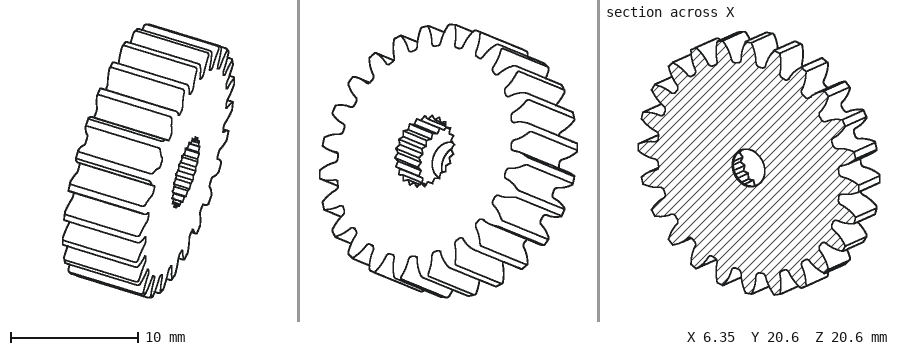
import cadquery as cq
import math

INCH = 25.4
TOOTH_COUNT = 24
MODULE = INCH / 32
PRESSURE_ANGLE = math.radians(20)
FACE_WIDTH = INCH / 4
DEDENDUM_FACTOR = 1.25
ROOT_FILLET = 0.3
TIP_ROUNDING = 0.2

PITCH_RADIUS = MODULE * TOOTH_COUNT / 2
BASE_RADIUS = PITCH_RADIUS * math.cos(PRESSURE_ANGLE)
TIP_RADIUS = PITCH_RADIUS + MODULE
ROOT_RADIUS = PITCH_RADIUS - DEDENDUM_FACTOR * MODULE
TOOTH_PITCH = 2 * math.pi / TOOTH_COUNT

RECESS_RADIUS = 7.65
RECESS_DEPTH = 2.03
BORE_RADIUS = 1.5

SPLINE_COUNT = 24
SPLINE_OUTER_RADIUS = 2.9
SPLINE_INNER_RADIUS = 2.6
SOCKET_DEPTH = 3.05

HALF_WIDTH = FACE_WIDTH / 2


def polar(radius, angle):
    """Point in the YZ plane, with the angle measured from +Y."""
    return (radius * math.cos(angle), radius * math.sin(angle))


def involute(angle):
    """Involute function of a pressure angle."""
    return math.tan(angle) - angle


def half_tooth_angle(radius):
    """Half the angle a tooth spans at the given radius on its involute flank."""
    flank_angle = math.acos(BASE_RADIUS / radius)
    return TOOTH_PITCH / 4 + involute(PRESSURE_ANGLE) - involute(flank_angle)


def cylinder(radius, start_x, length):
    """Cylinder on the X axis, running toward +X from start_x."""
    return cq.Workplane("YZ").workplane(offset=start_x).circle(radius).extrude(length)


def tooth_gap():
    """Cutter for the space between two teeth, centred on +Y.

    Each flank is one arc from the root to the tip. At the root the tooth is
    as thick as at the base circle, where the involute starts.
    """
    base_half_thickness = BASE_RADIUS * math.sin(half_tooth_angle(BASE_RADIUS))
    root_half_tooth = math.asin(base_half_thickness / ROOT_RADIUS)
    middle_radius = (BASE_RADIUS + TIP_RADIUS) / 2

    root_y, root_z = polar(ROOT_RADIUS, TOOTH_PITCH / 2 - root_half_tooth)
    middle_y, middle_z = polar(middle_radius, TOOTH_PITCH / 2 - half_tooth_angle(middle_radius))
    tip_y, tip_z = polar(TIP_RADIUS, TOOTH_PITCH / 2 - half_tooth_angle(TIP_RADIUS))
    clear_y = TIP_RADIUS + MODULE
    gap = (
        cq.Workplane("YZ")
        .workplane(offset=-HALF_WIDTH)
        .moveTo(root_y, -root_z)
        .threePointArc((middle_y, -middle_z), (tip_y, -tip_z))
        .lineTo(clear_y, -tip_z)
        .lineTo(clear_y, tip_z)
        .lineTo(tip_y, tip_z)
        .threePointArc((middle_y, middle_z), (root_y, root_z))
        .close()
        .extrude(FACE_WIDTH)
    )
    return gap.faces("<Y").edges("|X").fillet(ROOT_FILLET)


def gear_blank():
    """Solid disc with rounded rims, so that every tooth tip is rounded at both ends."""
    return cylinder(TIP_RADIUS, -HALF_WIDTH, FACE_WIDTH).edges().fillet(TIP_ROUNDING)


def toothed_disc():
    """Blank with all tooth gaps cut, so that one tooth is centred on +Y."""
    gap = tooth_gap().val()
    gaps = []
    for i in range(TOOTH_COUNT):
        turn = math.degrees((i + 0.5) * TOOTH_PITCH)
        gaps.append(gap.rotate(cq.Vector(0, 0, 0), cq.Vector(1, 0, 0), turn))
    return gear_blank().cut(cq.Compound.makeCompound(gaps))


def spline_socket():
    """Cutter for the socket: a star whose grooves and teeth are triangular."""
    half_pitch = math.pi / SPLINE_COUNT
    outline = []
    for i in range(SPLINE_COUNT):
        outline.append(polar(SPLINE_OUTER_RADIUS, 2 * i * half_pitch))
        outline.append(polar(SPLINE_INNER_RADIUS, (2 * i + 1) * half_pitch))
    start = HALF_WIDTH - SOCKET_DEPTH
    return cq.Workplane("YZ").workplane(offset=start).polyline(outline).close().extrude(SOCKET_DEPTH)


recess = cylinder(RECESS_RADIUS, -HALF_WIDTH, RECESS_DEPTH)
bore = cylinder(BORE_RADIUS, -HALF_WIDTH, FACE_WIDTH)

result = toothed_disc().cut(recess).cut(bore).cut(spline_socket())